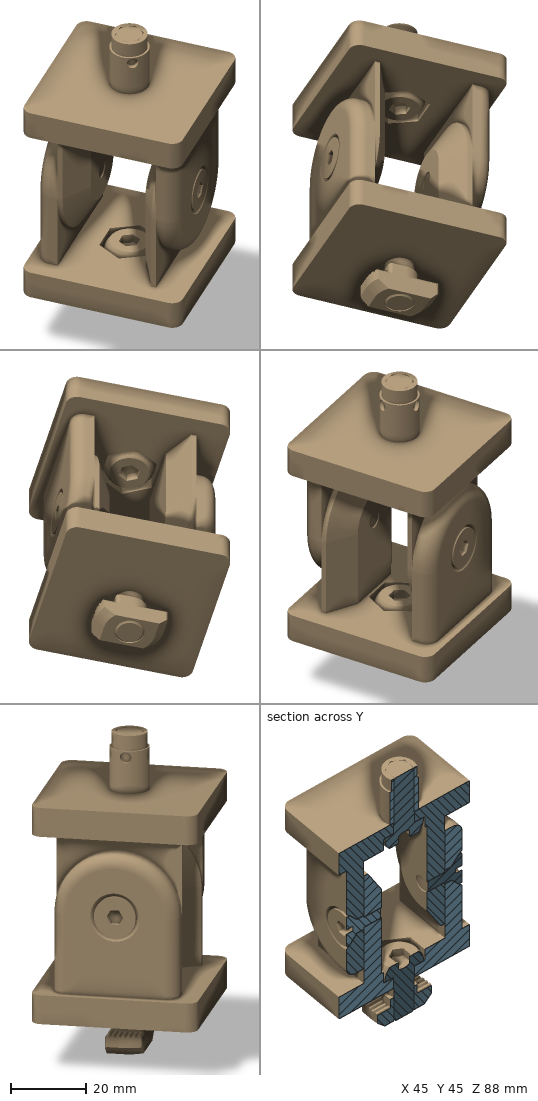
import cadquery as cq
import math


Y_AXIS = (0, 1, 0)
Z_AXIS = (0, 0, 1)

PLATE_SIDE = 45.0
PLATE_CORNER_RADIUS = 3.0
PLATE_OUTER_HEIGHT = 30.0
PLATE_THICKNESS = 8.0
PLATE_INNER_HEIGHT = PLATE_OUTER_HEIGHT - PLATE_THICKNESS

EAR_RADIUS = 17.0
OUTER_EAR_FACE = 20.0
OUTER_EAR_ROUNDING = 3.5
EAR_CONTACT = 14.0
INNER_EAR_FACE = 7.7
INNER_EAR_BEVEL_DEPTH = 4.8
INNER_EAR_BEVEL_ANGLE = 60
INNER_EAR_BEVEL_WIDTH = INNER_EAR_BEVEL_DEPTH * math.tan(math.radians(INNER_EAR_BEVEL_ANGLE))

SCREW_HEAD_DIAMETER = 11.35
SCREW_SHANK_DIAMETER = 6.0
SCREW_THREAD_DIAMETER = 5.0
SOCKET_POINT_ANGLE = 30
SCREW_SOCKET_WIDTH = 4.0
SCREW_SOCKET_DEPTH = 2.0
SCREW_TIP_RECESS = 0.35
COUNTERSINK_DIAMETER = 13.3

BOLT_HEAD_DIAMETER = 14.0
BOLT_HEAD_FLAT_DIAMETER = 10.7
BOLT_HEAD_HEIGHT = 4.4
BOLT_HEAD_PROTRUSION = 0.5
BOLT_HEAD_ROUND_HEIGHT = 3.9
BOLT_HEAD_POCKET_WIDTH = 14.1
BOLT_SHANK_DIAMETER = 8.0
BOLT_TIP_DIAMETER = 6.8
BOLT_TIP_CHAMFER = (BOLT_SHANK_DIAMETER - BOLT_TIP_DIAMETER) / 2
BOLT_SOCKET_WIDTH = 5.0
BOLT_SOCKET_DEPTH = 2.5
BOLT_HEAD_TOP = PLATE_INNER_HEIGHT - BOLT_HEAD_PROTRUSION
BOLT_HEAD_SEAT = BOLT_HEAD_TOP + BOLT_HEAD_HEIGHT

SLEEVE_DIAMETER = 10.7
SLEEVE_SHOULDER_LENGTH = 11.8
SLEEVE_NECK_DIAMETER = 9.7
SLEEVE_LENGTH = 15.9
SLEEVE_TOP = PLATE_OUTER_HEIGHT + SLEEVE_LENGTH
SLEEVE_SOCKET_WIDTH = BOLT_TIP_DIAMETER
CROSS_HOLE_DIAMETER = 3.1
CROSS_HOLE_DROP = 1.8
CROSS_HOLE_ANGLES = (60, 180, 300)

NUT_WIDTH = 9.7
NUT_LENGTH = 18.8
NUT_BOSS_TOP = 33.2
NUT_BAR_TOP = 36.1
NUT_BOTTOM = 41.8
NUT_BEVEL = 2.5
NUT_END_ROUNDING = 0.8
NUT_BOSS_ROUNDING = 1.1
TOOTH_GROOVE_WIDTH = 0.8
TOOTH_GROOVE_DEPTH = 0.6
TOOTH_COUNT = 7
TOOTH_PITCH = NUT_WIDTH / TOOTH_COUNT
NUT_BOLT_TIP = 42.1


def half_turn(shape, axis):
    """Copy of a shape turned by 180 degrees about an axis through the origin."""
    return shape.rotate((0, 0, 0), axis, 180)


def cylinder(diameter, bottom, top):
    """Cylinder on the Z axis between two heights."""
    return cq.Workplane("XY").workplane(offset=bottom).circle(diameter / 2).extrude(top - bottom)


def hexagon(width, bottom, top):
    """Hexagonal prism on the Z axis, `width` across flats, with its flats facing +X and -X."""
    outline = cq.Workplane("XY").workplane(offset=bottom).polygon(6, 2 * width / math.sqrt(3))
    return outline.extrude(top - bottom).rotate((0, 0, 0), (0, 0, 1), 30)


def pointed_hex_socket(width, depth):
    """Socket sunk upward from Z = 0, with a conical bottom past its full-width depth."""
    corner_radius = width / math.sqrt(3)
    tip = depth + corner_radius * math.tan(math.radians(SOCKET_POINT_ANGLE))
    drill = (
        cq.Workplane("XZ")
        .polyline([(0, 0), (corner_radius, 0), (corner_radius, depth), (0, tip)])
        .close()
        .revolve(360, (0, 0, 0), (0, 1, 0))
    )
    return hexagon(width, 0, tip).intersect(drill)


def ear(half_section):
    """Ear with a round end on the X axis and a straight leg down to the plate.

    The half section lies in the XY plane at Y >= 0, with its ends on the X axis.
    """
    round_end = half_section.revolve(360, (0, 0, 0), (1, 0, 0))
    half_leg = half_section.toPending().extrude(-PLATE_INNER_HEIGHT)
    return round_end.union(half_leg).union(half_leg.mirror("XZ"))


def outer_ear():
    """Ear at -X whose outer edge is rounded."""
    arc_offset = OUTER_EAR_ROUNDING * (1 - math.sqrt(0.5))
    half_section = (
        cq.Workplane("XY")
        .moveTo(-EAR_CONTACT, 0)
        .lineTo(-EAR_CONTACT, EAR_RADIUS)
        .lineTo(-OUTER_EAR_FACE + OUTER_EAR_ROUNDING, EAR_RADIUS)
        .threePointArc(
            (-OUTER_EAR_FACE + arc_offset, EAR_RADIUS - arc_offset),
            (-OUTER_EAR_FACE, EAR_RADIUS - OUTER_EAR_ROUNDING),
        )
        .lineTo(-OUTER_EAR_FACE, 0)
        .close()
    )
    return ear(half_section)


def inner_ear():
    """Ear at +X whose inner edge has a steep bevel."""
    half_section = (
        cq.Workplane("XY")
        .moveTo(EAR_CONTACT, 0)
        .lineTo(EAR_CONTACT, EAR_RADIUS)
        .lineTo(INNER_EAR_FACE + INNER_EAR_BEVEL_DEPTH, EAR_RADIUS)
        .lineTo(INNER_EAR_FACE, EAR_RADIUS - INNER_EAR_BEVEL_WIDTH)
        .lineTo(INNER_EAR_FACE, 0)
        .close()
    )
    return ear(half_section)


def hinge_plate():
    """Square plate with a bolt hole and a hexagonal pocket for the bolt head."""
    plate = (
        cq.Workplane("XY")
        .workplane(offset=-PLATE_OUTER_HEIGHT)
        .rect(PLATE_SIDE, PLATE_SIDE)
        .extrude(PLATE_THICKNESS)
        .edges("|Z")
        .fillet(PLATE_CORNER_RADIUS)
    )
    bolt_hole = cylinder(BOLT_SHANK_DIAMETER, -PLATE_OUTER_HEIGHT, -PLATE_INNER_HEIGHT)
    head_pocket = hexagon(BOLT_HEAD_POCKET_WIDTH, -BOLT_HEAD_SEAT, -PLATE_INNER_HEIGHT)
    return plate.cut(bolt_hole).cut(head_pocket)


def screw_clearance(tip):
    """Space for a screw: a 45 degree countersink at -X, a shank and a thinner thread up to X = `tip`."""
    shank_radius = SCREW_SHANK_DIAMETER / 2
    thread_radius = SCREW_THREAD_DIAMETER / 2
    mouth_radius = COUNTERSINK_DIAMETER / 2
    half_section = (
        cq.Workplane("XY")
        .moveTo(-OUTER_EAR_FACE, 0)
        .lineTo(-OUTER_EAR_FACE, mouth_radius)
        .lineTo(-OUTER_EAR_FACE + mouth_radius - shank_radius, shank_radius)
        .lineTo(-EAR_CONTACT, shank_radius)
        .lineTo(-EAR_CONTACT, thread_radius)
        .lineTo(tip, thread_radius)
        .lineTo(tip, 0)
        .close()
    )
    return half_section.revolve(360, (0, 0, 0), (1, 0, 0))


def lower_hinge_half():
    """Plate with a rounded outer ear at -X and a bevelled inner ear at +X."""
    screw_hole = screw_clearance(-INNER_EAR_FACE)
    half = hinge_plate().union(outer_ear()).union(inner_ear())
    return half.cut(screw_hole).cut(half_turn(screw_hole, Y_AXIS))


def hinge_screw():
    """Screw at -X, flush with its ear, whose rim leaves a V groove at the mouth of the countersink."""
    socket = (
        pointed_hex_socket(SCREW_SOCKET_WIDTH, SCREW_SOCKET_DEPTH)
        .rotate((0, 0, 0), (0, 1, 0), 90)
        .translate((-OUTER_EAR_FACE, 0, 0))
    )
    head_bar = cq.Workplane("YZ").circle(SCREW_HEAD_DIAMETER / 2).extrude(-OUTER_EAR_FACE)
    tip = -INNER_EAR_FACE - SCREW_TIP_RECESS
    return screw_clearance(tip).intersect(head_bar).cut(socket)


def bolt_shank(start, end):
    """Upright bolt shank with a chamfered top end."""
    return cylinder(BOLT_SHANK_DIAMETER, start, end).faces(">Z").chamfer(BOLT_TIP_CHAMFER)


def plate_bolt(end):
    """Upright bolt with its rounded head at the bottom and a chamfered tip at height `end`."""
    head_radius = BOLT_HEAD_DIAMETER / 2
    head = (
        cq.Workplane("XZ")
        .moveTo(0, BOLT_HEAD_SEAT)
        .lineTo(head_radius, BOLT_HEAD_SEAT)
        .lineTo(head_radius, BOLT_HEAD_TOP + BOLT_HEAD_ROUND_HEIGHT)
        .tangentArcPoint((BOLT_HEAD_FLAT_DIAMETER / 2, BOLT_HEAD_TOP), relative=False)
        .lineTo(0, BOLT_HEAD_TOP)
        .close()
        .revolve(360, (0, 0, 0), (0, 1, 0))
    )
    socket = pointed_hex_socket(BOLT_SOCKET_WIDTH, BOLT_SOCKET_DEPTH).translate((0, 0, BOLT_HEAD_TOP))
    return head.union(bolt_shank(BOLT_HEAD_SEAT, end)).cut(socket)


def sleeve():
    """Stepped sleeve with a hexagonal top socket and three cross holes that reach the bolt."""
    shoulder = PLATE_OUTER_HEIGHT + SLEEVE_SHOULDER_LENGTH
    body = cylinder(SLEEVE_DIAMETER, PLATE_OUTER_HEIGHT, shoulder)
    body = body.union(cylinder(SLEEVE_NECK_DIAMETER, shoulder, SLEEVE_TOP))
    body = body.cut(bolt_shank(PLATE_OUTER_HEIGHT, SLEEVE_TOP))
    body = body.cut(hexagon(SLEEVE_SOCKET_WIDTH, SLEEVE_TOP - BOLT_TIP_CHAMFER, SLEEVE_TOP))
    cross_hole = (
        cq.Workplane("YZ")
        .center(0, shoulder - CROSS_HOLE_DROP)
        .circle(CROSS_HOLE_DIAMETER / 2)
        .extrude(SLEEVE_DIAMETER)
    )
    for angle in CROSS_HOLE_ANGLES:
        body = body.cut(cross_hole.rotate((0, 0, 0), (0, 0, 1), angle))
    return body


def nut_bar():
    """Bar with two round and two nearly square end corners, bevelled underneath at both ends."""
    half_length = NUT_LENGTH / 2
    height = NUT_BOTTOM - NUT_BAR_TOP
    half_profile = (
        cq.Workplane("XZ")
        .moveTo(0, -NUT_BAR_TOP)
        .lineTo(half_length, -NUT_BAR_TOP)
        .lineTo(half_length, -NUT_BOTTOM + NUT_BEVEL)
        .lineTo(half_length - NUT_BEVEL, -NUT_BOTTOM)
        .lineTo(0, -NUT_BOTTOM)
        .close()
    )
    strip = cq.Workplane("XY").workplane(offset=-NUT_BOTTOM).rect(NUT_LENGTH, NUT_WIDTH).extrude(height)
    bar = half_profile.revolve(360, (0, 0, 0), (0, 1, 0)).intersect(strip)
    rounded_strip = strip.edges("|Z").fillet(NUT_END_ROUNDING)
    square_corner = half_profile.toPending().extrude(NUT_WIDTH / 2).intersect(rounded_strip)
    return bar.union(square_corner).union(half_turn(square_corner, Z_AXIS))


def nut_tooth_grooves():
    """V grooves along X on both sides of every tooth, with half grooves on the long edges."""
    half_width = TOOTH_GROOVE_WIDTH / 2
    groove = (
        cq.Workplane("YZ")
        .polyline([(-half_width, 0), (half_width, 0), (0, -TOOTH_GROOVE_DEPTH)])
        .close()
        .extrude(NUT_LENGTH / 2, both=True)
        .translate((0, 0, -NUT_BAR_TOP))
    )
    return [groove.translate((0, i * TOOTH_PITCH - NUT_WIDTH / 2, 0)) for i in range(TOOTH_COUNT + 1)]


def nut_boss():
    """Round boss with two opposite quadrants filled out to rounded square corners."""
    bottom = -NUT_BAR_TOP - TOOTH_GROOVE_DEPTH
    side = NUT_WIDTH / 2
    boss = cylinder(NUT_WIDTH, bottom, -NUT_BOSS_TOP)
    corner = (
        cq.Workplane("XY")
        .workplane(offset=bottom)
        .rect(-side, -side, centered=False)
        .extrude(-NUT_BOSS_TOP - bottom)
        .edges("|Z and <X and <Y")
        .fillet(NUT_BOSS_ROUNDING)
    )
    return boss.union(corner).union(half_turn(corner, Z_AXIS))


def quarter_turn_nut():
    """Toothed bar with its locating boss and a through hole for the bolt."""
    nut = nut_bar()
    for groove in nut_tooth_grooves():
        nut = nut.cut(groove)
    return nut.union(nut_boss()).cut(cylinder(BOLT_SHANK_DIAMETER, -NUT_BOTTOM, -NUT_BOSS_TOP))


lower_half = lower_hinge_half()
left_screw = hinge_screw()

hinge_halves = []
hinge_screws = []
for angle in (0, 180):
    hinge_halves.append(lower_half.rotate((0, 0, 0), Y_AXIS, angle))
    hinge_screws.append(left_screw.rotate((0, 0, 0), Y_AXIS, angle))

upper_bolt = plate_bolt(SLEEVE_TOP)
lower_bolt = half_turn(plate_bolt(NUT_BOLT_TIP), Y_AXIS)

bodies = [*hinge_halves, *hinge_screws, upper_bolt, lower_bolt, sleeve(), quarter_turn_nut()]
result = cq.Compound.makeCompound([body.solids().val() for body in bodies])